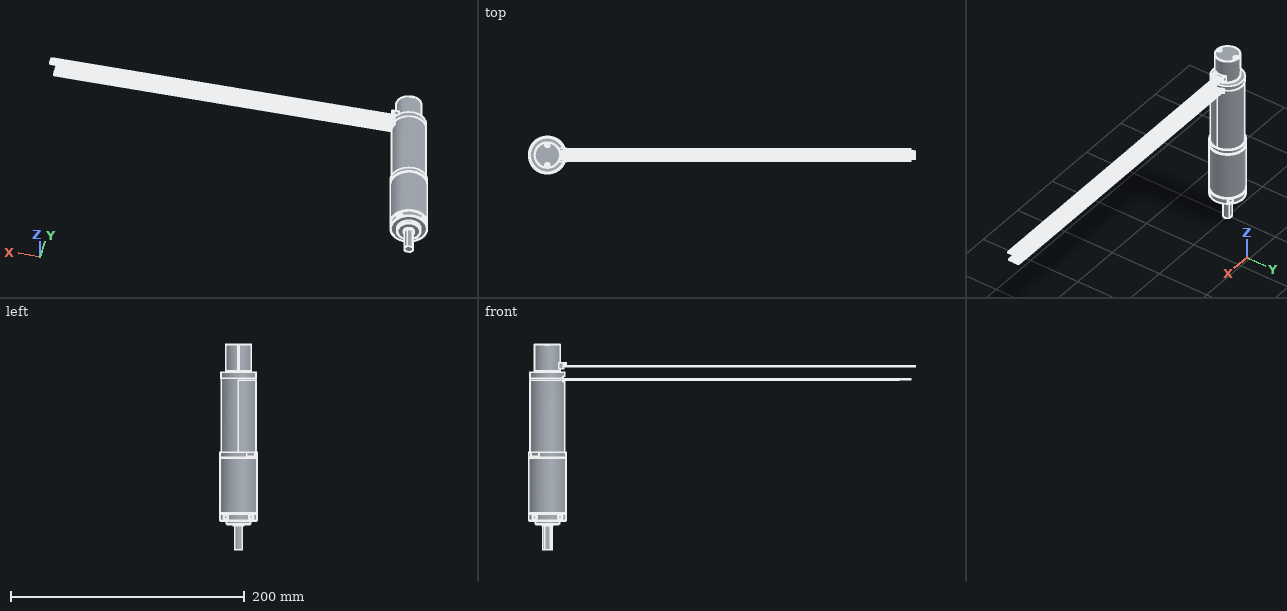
import cadquery as cq

CLEARANCE = 1.0

SHAFT_END = -24.6
OVERALL_LENGTH = 176.04
TOP = SHAFT_END + OVERALL_LENGTH
GEARBOX_TOP = 58.8
MOTOR_TOP = 122.5
CAP_TOP = 127.6

GEARBOX_RADIUS = 16.0
GEARBOX_CHAMFER = 0.7
JOINT_LEVELS = (6.6, 54.2)
JOINT_WIDTH = 1.0
JOINT_DEPTH = 0.25
SCREW_LEVEL = 3.4
SCREW_RECESS_RADIUS = 2.6
SCREW_RECESS_DEPTH = 1.0
SCREW_HEAD_RADIUS = 2.0
SCREW_HEAD_HEIGHT = 0.6
SCREW_COUNT = 4
SCREW_START_ANGLE = 45.0
KEY_FLAT_DISTANCE = 14.7
KEY_FLAT_WIDTH = 10.0
KEY_FLAT_HEIGHT = 3.2
KEY_FLAT_ANGLE = 225.0

PILOT_RADIUS = 10.4
PILOT_HEIGHT = 3.0
PILOT_CHAMFER = 0.9
COLLAR_RADIUS = 4.6
COLLAR_HEIGHT = 1.0
SHAFT_RADIUS = 4.0
SHAFT_TIP_CHAMFER = 0.3
FLAT_SPACING = 6.6
FLAT_LENGTH = 20.6

MOTOR_RADIUS = 14.8
CAP_RADIUS = 15.0
LABEL_RADIUS = 15.0
LABEL_TOP = MOTOR_TOP - 1.8
OUTLET_FLAT_X = 13.4
OUTLET_BOTTOM = MOTOR_TOP - 2.8
OUTLET_TOP = MOTOR_TOP + 1.5

ENCODER_RADIUS = 11.1
ENCODER_CHAMFER = 0.4
NECK_RADIUS = 10.5
NECK_HEIGHT = 1.0
SLIT_WIDTH = 1.0
SLIT_DEPTH = 0.2
COVER_SCREW_OFFSET = 8.7
COVER_RECESS_RADIUS = 2.1
COVER_RECESS_DEPTH = 1.0
COVER_SCREW_RADIUS = 1.4
COVER_SCREW_HEIGHT = 0.7
COVER_DRIVE_WIDTH = 0.6

CONNECTOR_END_X = 14.0
CONNECTOR_HALF_WIDTH = 5.7
CONNECTOR_BOTTOM = TOP - 21.0
CONNECTOR_TOP = TOP - 15.8
LIP_END_X = 16.0
LIP_HEIGHT = 1.5
CONNECTOR_SLOT_START_X = 11.5

ENCODER_CABLE_END_X = 315.0
ENCODER_CABLE_LEVEL = TOP - 18.9
ENCODER_WIRE_COUNT = 6
ENCODER_WIRE_DIAMETER = 0.8
ENCODER_WIRE_PITCH = 1.27
MOTOR_CABLE_END_X = 311.0
MOTOR_CABLE_LEVEL = TOP - 30.0
MOTOR_WIRE_COUNT = 8
MOTOR_WIRE_DIAMETER = 1.3
MOTOR_WIRE_PITCH = 1.37
CABLE_ROOT_X = 10.0
WEB_THICKNESS = 0.4
MOTOR_TIP_LENGTH = 10.0
MOTOR_TIP_DIAMETER = 1.1
ENCODER_TIP_LENGTH = 1.5
ENCODER_TIP_DIAMETER = 0.6


def cylinder(radius, bottom, top):
    return cq.Workplane("XY").workplane(offset=bottom).circle(radius).extrude(top - bottom)


def block(x_range, y_range, z_range):
    size = [high - low for low, high in (x_range, y_range, z_range)]
    corner = (x_range[0], y_range[0], z_range[0])
    return cq.Workplane("XY").box(*size, centered=False).translate(corner)


def ring(outer, inner, bottom, top):
    return cylinder(outer, bottom, top).cut(cylinder(inner, bottom, top))


def radial_cylinder(radius, inner, outer, level, angle):
    """Cylinder along a radius of the body, between two distances from the axis."""
    bar = cq.Workplane("YZ").workplane(offset=inner).center(0, level).circle(radius).extrude(outer - inner)
    return bar.rotate((0, 0, 0), (0, 0, 1), angle)


def make_gearbox():
    body = cylinder(GEARBOX_RADIUS, 0, GEARBOX_TOP).faces("<Z").edges().chamfer(GEARBOX_CHAMFER)
    for level in JOINT_LEVELS:
        bottom = level - JOINT_WIDTH / 2
        groove = ring(GEARBOX_RADIUS + CLEARANCE, GEARBOX_RADIUS - JOINT_DEPTH, bottom, bottom + JOINT_WIDTH)
        body = body.cut(groove)
    recess_floor = GEARBOX_RADIUS - SCREW_RECESS_DEPTH
    for index in range(SCREW_COUNT):
        angle = SCREW_START_ANGLE + index * 360 / SCREW_COUNT
        recess = radial_cylinder(
            SCREW_RECESS_RADIUS, recess_floor, GEARBOX_RADIUS + CLEARANCE, SCREW_LEVEL, angle
        )
        head = radial_cylinder(
            SCREW_HEAD_RADIUS, recess_floor - CLEARANCE, recess_floor + SCREW_HEAD_HEIGHT, SCREW_LEVEL, angle
        )
        body = body.cut(recess).union(head)
    key_flat = block(
        (KEY_FLAT_DISTANCE, GEARBOX_RADIUS + CLEARANCE),
        (-KEY_FLAT_WIDTH / 2, KEY_FLAT_WIDTH / 2),
        (GEARBOX_TOP - KEY_FLAT_HEIGHT, GEARBOX_TOP),
    ).rotate((0, 0, 0), (0, 0, 1), KEY_FLAT_ANGLE)
    return body.cut(key_flat)


def make_output():
    pilot = cylinder(PILOT_RADIUS, -PILOT_HEIGHT, 0).faces("<Z").edges().chamfer(PILOT_CHAMFER)
    collar = cylinder(COLLAR_RADIUS, -PILOT_HEIGHT - COLLAR_HEIGHT, 0)
    shaft = cylinder(SHAFT_RADIUS, SHAFT_END, 0).faces("<Z").edges().chamfer(SHAFT_TIP_CHAMFER)
    between_flats = block(
        (-SHAFT_RADIUS, SHAFT_RADIUS),
        (-FLAT_SPACING / 2, FLAT_SPACING / 2),
        (SHAFT_END, SHAFT_END + FLAT_LENGTH),
    )
    flat_zone = cylinder(SHAFT_RADIUS + CLEARANCE, SHAFT_END, SHAFT_END + FLAT_LENGTH)
    shaft = shaft.cut(flat_zone.cut(between_flats))
    return pilot.union(collar).union(shaft)


def make_motor():
    body = cylinder(MOTOR_RADIUS, GEARBOX_TOP, MOTOR_TOP)
    label = cylinder(LABEL_RADIUS, GEARBOX_TOP, LABEL_TOP).intersect(
        block((-LABEL_RADIUS, LABEL_RADIUS), (-LABEL_RADIUS, 0), (GEARBOX_TOP, LABEL_TOP))
    )
    cap = cylinder(CAP_RADIUS, MOTOR_TOP, CAP_TOP)
    outlet = block(
        (OUTLET_FLAT_X, CAP_RADIUS + CLEARANCE),
        (-CAP_RADIUS, CAP_RADIUS),
        (OUTLET_BOTTOM, OUTLET_TOP),
    )
    return body.union(label).union(cap).cut(outlet)


def make_encoder():
    neck = cylinder(NECK_RADIUS, CAP_TOP, CAP_TOP + NECK_HEIGHT)
    housing = cylinder(ENCODER_RADIUS, CAP_TOP + NECK_HEIGHT, TOP).faces(">Z").edges().chamfer(ENCODER_CHAMFER)
    slit = block(
        (-ENCODER_RADIUS - CLEARANCE, -ENCODER_RADIUS + SLIT_DEPTH),
        (-SLIT_WIDTH / 2, SLIT_WIDTH / 2),
        (CAP_TOP, TOP),
    )
    encoder = neck.union(housing).cut(slit)
    recess_floor = TOP - COVER_RECESS_DEPTH
    for side in (-1, 1):
        place = (0, side * COVER_SCREW_OFFSET, 0)
        recess = cylinder(COVER_RECESS_RADIUS, recess_floor, TOP)
        head_top = recess_floor + COVER_SCREW_HEIGHT
        head = cylinder(COVER_SCREW_RADIUS, recess_floor, head_top)
        drive = block(
            (-COVER_SCREW_RADIUS, COVER_SCREW_RADIUS),
            (-COVER_DRIVE_WIDTH / 2, COVER_DRIVE_WIDTH / 2),
            (recess_floor, head_top),
        )
        encoder = encoder.cut(recess.cut(head.cut(drive)).translate(place))
    return encoder


def make_connector():
    width = (-CONNECTOR_HALF_WIDTH, CONNECTOR_HALF_WIDTH)
    body = block((0, CONNECTOR_END_X), width, (CONNECTOR_BOTTOM, CONNECTOR_TOP))
    lip = block((0, LIP_END_X), width, (CONNECTOR_TOP - LIP_HEIGHT, CONNECTOR_TOP))
    slot_width = ENCODER_WIRE_COUNT * ENCODER_WIRE_PITCH
    slot = block(
        (CONNECTOR_SLOT_START_X, LIP_END_X),
        (-slot_width / 2, slot_width / 2),
        (ENCODER_CABLE_LEVEL, CONNECTOR_TOP),
    )
    return body.union(lip).cut(slot)


def make_ribbon(count, pitch, diameter, level, end_x, tip_length, tip_diameter):
    """Flat cable of parallel wires joined by a thin web, with slimmer tips at its far end."""
    half_span = (count - 1) * pitch / 2
    places = [(-half_span + index * pitch, level) for index in range(count)]
    tip_x = end_x - tip_length
    ribbon = block(
        (CABLE_ROOT_X, end_x),
        (-half_span, half_span),
        (level - WEB_THICKNESS / 2, level + WEB_THICKNESS / 2),
    )
    for y, z in places:
        wire = cq.Workplane("YZ").workplane(offset=CABLE_ROOT_X).center(y, z)
        ribbon = ribbon.union(wire.circle(diameter / 2).extrude(tip_x - CABLE_ROOT_X))
        tip = cq.Workplane("YZ").workplane(offset=tip_x).center(y, z)
        ribbon = ribbon.union(tip.circle(tip_diameter / 2).extrude(tip_length))
    return ribbon


encoder_cable = make_ribbon(
    ENCODER_WIRE_COUNT, ENCODER_WIRE_PITCH, ENCODER_WIRE_DIAMETER, ENCODER_CABLE_LEVEL,
    ENCODER_CABLE_END_X, ENCODER_TIP_LENGTH, ENCODER_TIP_DIAMETER,
)
motor_cable = make_ribbon(
    MOTOR_WIRE_COUNT, MOTOR_WIRE_PITCH, MOTOR_WIRE_DIAMETER, MOTOR_CABLE_LEVEL,
    MOTOR_CABLE_END_X, MOTOR_TIP_LENGTH, MOTOR_TIP_DIAMETER,
)

result = make_gearbox()
for component in (
    make_output(),
    make_motor(),
    make_encoder(),
    make_connector(),
    encoder_cable,
    motor_cable,
):
    result = result.union(component)